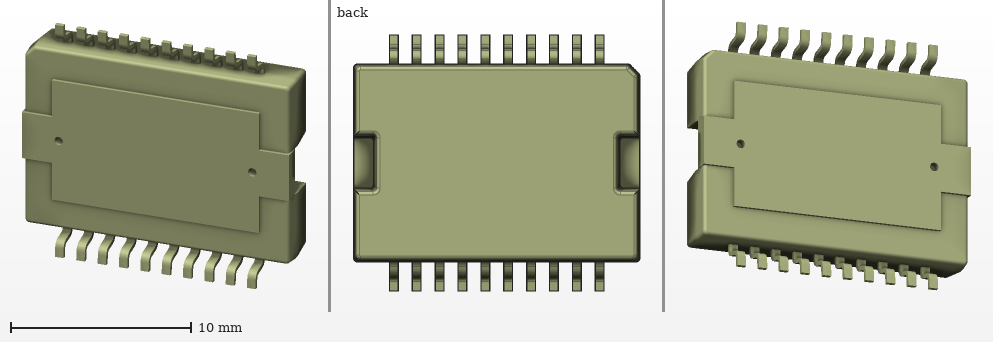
import cadquery as cq
import math


BODY_LENGTH = 15.9
BODY_WIDTH = 11.0
BODY_FRONT = 0.26
BODY_BACK = 3.2
DRAFT_ANGLE = 5.0
INDEX_CHAMFER = 0.6
CORNER_RADIUS = 0.25
RIM_RADIUS = 0.2

LEADS_PER_ROW = 10
LEAD_PITCH = 1.27
LEAD_WIDTH = 0.5
LEAD_THICKNESS = 0.25
LEAD_SPAN = 14.23
LEAD_FRONT = 1.24
LEAD_BACK = LEAD_FRONT + LEAD_THICKNESS
LEAD_STRAIGHT = 0.26
LEAD_EMBED = 0.5
LEAD_BEND_RADIUS = 0.25
LEAD_SLOPE_ANGLE = 80.0
LEAD_FOOT_ANGLE = 5.0

SLUG_FRONT = 0.05
SLUG_BACK = 0.98
SLUG_LENGTH = 12.3
SLUG_WIDTH = 7.3
TAB_WIDTH = 2.8
DIMPLE_DIAMETER = 0.5
DIMPLE_DEPTH = 0.5
DIMPLE_SPACING = 11.52

NOTCH_DEPTH = 1.1
NOTCH_OVERSHOOT = 1.0
NOTCH_CORNER_RADIUS = 0.2


def facing_back(y):
    """Sketch plane at the given Y, with its normal along +Y and local y along Z."""
    return cq.Workplane(cq.Plane(origin=(0, y, 0), xDir=(-1, 0, 0), normal=(0, 1, 0)))


def facing_front(y):
    """Sketch plane at the given Y, with its normal along -Y, local x along X and local y along Z."""
    return cq.Workplane("XZ", origin=(0, y, 0))


def body_outline(plane, index_side):
    """Rectangle with the pin-one corner cut off; index_side is the sign of that corner's local x."""
    half_length = index_side * BODY_LENGTH / 2
    half_width = BODY_WIDTH / 2
    chamfer_x = half_length - index_side * INDEX_CHAMFER
    return plane.polyline([
        (-half_length, -half_width),
        (-half_length, half_width),
        (chamfer_x, half_width),
        (half_length, half_width - INDEX_CHAMFER),
        (half_length, -half_width),
    ]).close()


def make_notch(side):
    """Drafted cutter, widest at the back face; side is the sign of X of the body end."""
    depth = BODY_BACK - SLUG_BACK
    flare = depth * math.tan(math.radians(DRAFT_ANGLE))
    length = NOTCH_DEPTH + NOTCH_OVERSHOOT
    center_x = side * (BODY_LENGTH / 2 - NOTCH_DEPTH + length / 2)
    cutter = (
        facing_front(BODY_BACK)
        .center(center_x, 0)
        .rect(length + 2 * flare, TAB_WIDTH + 2 * flare)
        .extrude(depth, taper=DRAFT_ANGLE)
    )
    floor = "<X" if side > 0 else ">X"
    return cutter.faces(floor).edges("not(#Y)").fillet(NOTCH_CORNER_RADIUS)


def make_slice(plane, index_side, thickness, draft):
    """One layer of the body with its corner edges rounded."""
    layer = body_outline(plane, index_side).extrude(thickness, taper=draft)
    return layer.edges("not(#Y)").fillet(CORNER_RADIUS)


def make_body():
    back_shell = make_slice(facing_back(LEAD_BACK), 1, BODY_BACK - LEAD_BACK, DRAFT_ANGLE)
    band = make_slice(facing_back(LEAD_FRONT), 1, LEAD_THICKNESS, 0)
    front_shell = make_slice(facing_front(LEAD_FRONT), -1, LEAD_FRONT - BODY_FRONT, DRAFT_ANGLE)
    body = back_shell.union(band).union(front_shell)
    for side in (-1, 1):
        body = body.cut(make_notch(side))
    return body.faces("<Y or >Y").edges().fillet(RIM_RADIUS)


def make_slug():
    thickness = SLUG_BACK - SLUG_FRONT
    pad = facing_back(SLUG_FRONT).rect(SLUG_LENGTH, SLUG_WIDTH).extrude(thickness)
    tabs = facing_back(SLUG_FRONT).rect(BODY_LENGTH, TAB_WIDTH).extrude(thickness)
    return pad.union(tabs)


def make_dimples():
    return (
        facing_back(SLUG_FRONT)
        .pushPoints([(-DIMPLE_SPACING / 2, 0), (DIMPLE_SPACING / 2, 0)])
        .circle(DIMPLE_DIAMETER / 2)
        .extrude(DIMPLE_DEPTH)
    )


def around(center, radius, angle):
    """Point at a radius and angle (radians) about a centre."""
    return (center[0] + radius * math.cos(angle), center[1] + radius * math.sin(angle))


def make_lead():
    """One lead of the +Z row, centred on X = 0: a bent strip profile extruded along X."""
    slope = math.radians(LEAD_SLOPE_ANGLE)
    foot = math.radians(LEAD_FOOT_ANGLE)
    half = LEAD_THICKNESS / 2
    bend = LEAD_BEND_RADIUS + half

    start_z = BODY_WIDTH / 2 + LEAD_STRAIGHT
    drop_total = LEAD_FRONT + half - half * math.cos(foot)
    drop_bends = bend * (1 + math.cos(foot) - 2 * math.cos(slope))
    rise_total = LEAD_SPAN / 2 - start_z - half * math.sin(foot)
    rise_bends = bend * (2 * math.sin(slope) - math.sin(foot))
    drop_left = drop_total - drop_bends
    rise_left = rise_total - rise_bends
    slope_length = (drop_left * math.cos(foot) - rise_left * math.sin(foot)) / math.sin(slope - foot)

    first = (LEAD_FRONT + half - bend, start_z)
    run_y = first[0] + bend * math.cos(slope) - slope_length * math.sin(slope)
    run_z = first[1] + bend * math.sin(slope) + slope_length * math.cos(slope)
    second = (run_y + bend * math.cos(slope), run_z + bend * math.sin(slope))

    inside = LEAD_BEND_RADIUS
    outside = LEAD_BEND_RADIUS + LEAD_THICKNESS
    root_z = BODY_WIDTH / 2 - LEAD_EMBED
    tip_z = LEAD_SPAN / 2
    foot_back = around(second, -inside, foot)
    tip_inner = (foot_back[0] - (tip_z - foot_back[1]) * math.tan(foot), tip_z)
    tip_outer = around(tip_inner, -LEAD_THICKNESS, foot)
    profile = (
        cq.Workplane("YZ", origin=(-LEAD_WIDTH / 2, 0, 0))
        .moveTo(LEAD_BACK, root_z)
        .lineTo(LEAD_BACK, start_z)
        .threePointArc(around(first, outside, slope / 2), around(first, outside, slope))
        .lineTo(*around(second, -inside, slope))
        .threePointArc(around(second, -inside, (slope + foot) / 2), foot_back)
        .lineTo(*tip_inner)
        .lineTo(*tip_outer)
        .lineTo(*around(second, -outside, foot))
        .threePointArc(around(second, -outside, (slope + foot) / 2), around(second, -outside, slope))
        .lineTo(*around(first, inside, slope))
        .threePointArc(around(first, inside, slope / 2), (LEAD_FRONT, start_z))
        .lineTo(LEAD_FRONT, root_z)
        .close()
    )
    return profile.extrude(LEAD_WIDTH)


def add_leads(part):
    upper_lead = make_lead()
    lower_lead = upper_lead.mirror("XY")
    for index in range(LEADS_PER_ROW):
        x = (index - (LEADS_PER_ROW - 1) / 2) * LEAD_PITCH
        for lead in (upper_lead, lower_lead):
            part = part.union(lead.translate((x, 0, 0)))
    return part


result = add_leads(make_body().union(make_slug()).cut(make_dimples()))